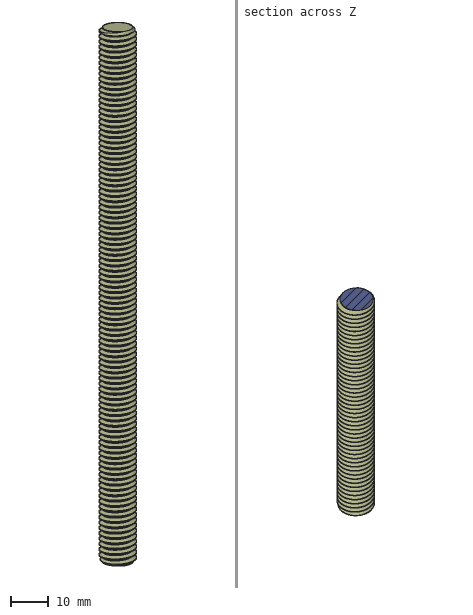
import cadquery as cq
import math

rod_length = 150.0
pitch = 1.5
major_diameter = 10.0
root_diameter = 7.8
end_face_diameter = 8.1
chamfer_angle = 45.0
crest_flat = pitch / 8
root_flat = pitch / 8
thread_start_angle = -45.0

major_radius = major_diameter / 2
root_radius = root_diameter / 2
end_face_radius = end_face_diameter / 2
flank_height = (pitch - crest_flat - root_flat) / 2

extra_turns = 2
turn_count = round(rod_length / pitch) + 2 * extra_turns - 1
bar_bottom = -extra_turns * pitch

thread_profile = [
    (root_radius, 0),
    (root_radius, root_flat),
    (major_radius, root_flat + flank_height),
    (major_radius, root_flat + flank_height + crest_flat),
    (root_radius, pitch),
]


def helix_turn(radius, height):
    """One right-hand turn of a helix that starts at the given height."""
    return cq.Wire.makeHelix(pitch, pitch, radius, cq.Vector(0, 0, height)).Edges()[0]


def thread_turn_faces():
    """Root, flank and crest faces of one full turn of thread."""
    return [
        cq.Face.makeRuledSurface(helix_turn(*lower), helix_turn(*upper))
        for lower, upper in zip(thread_profile, thread_profile[1:])
    ]


def bar_end_faces():
    """Spiral ramp and flat step that close one end of the threaded bar."""
    axis = cq.Edge.makeLine(cq.Vector(0, 0, 0), cq.Vector(0, 0, pitch))
    ramp = cq.Face.makeRuledSurface(axis, helix_turn(root_radius, 0))
    outline = [(0, 0)] + thread_profile + [(0, pitch)]
    corners = [cq.Vector(radius, 0, height) for radius, height in outline]
    step = cq.Face.makeFromWires(cq.Wire.makePolygon(corners, close=True))
    return [ramp, step]


def threaded_bar():
    """Solid bar with a thread along its whole length."""
    faces = []
    for turn in range(turn_count):
        lift = cq.Vector(0, 0, turn * pitch)
        faces += [face.translate(lift) for face in thread_turn_faces()]
    for height in (0, turn_count * pitch):
        lift = cq.Vector(0, 0, height)
        faces += [face.translate(lift) for face in bar_end_faces()]
    bar = cq.Solid.makeSolid(cq.Shell.makeShell(faces)).fix()
    return (
        cq.Workplane(bar.translate(cq.Vector(0, 0, bar_bottom)))
        .rotate((0, 0, 0), (0, 0, 1), thread_start_angle)
    )


def trimming_envelope():
    """Round body, clear of the crests, with the end faces and end chamfers of the rod."""
    clear_radius = major_diameter
    cone_length = (clear_radius - end_face_radius) / math.tan(math.radians(chamfer_angle))
    return (
        cq.Workplane("XZ")
        .moveTo(0, 0)
        .lineTo(end_face_radius, 0)
        .lineTo(clear_radius, cone_length)
        .lineTo(clear_radius, rod_length - cone_length)
        .lineTo(end_face_radius, rod_length)
        .lineTo(0, rod_length)
        .close()
        .revolve(360, (0, 0), (0, 1))
    )


result = threaded_bar().intersect(trimming_envelope()).solids()